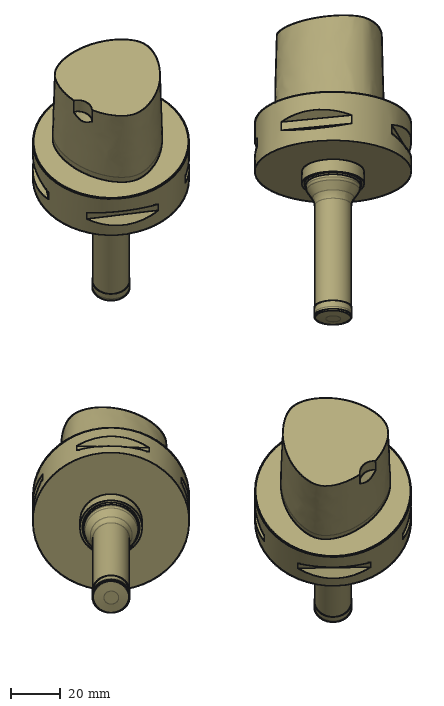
import cadquery as cq
import math

TOTAL_HEIGHT = 124.0
TAPER_START_Z = 89.0
FLANGE_TOP_Z = 86.0
FLANGE_BOTTOM_Z = 64.5
COLLAR_BOTTOM_Z = 59.1
NECK_TOP_Z = 58.5
CONE_TOP_Z = 56.9
CONE_END_Z = 51.5
HEAD_TOP_Z = 4.7

FLANGE_DIAMETER = 63.0
FLANGE_CHAMFER = 0.4
COLLAR_DIAMETER = 25.0
COLLAR_LIP_DIAMETER = 23.1
NECK_DIAMETER = 22.0
SHANK_DIAMETER = 14.9
CONE_TOP_FILLET = 2.2
CONE_END_FILLET = 6.0

LOBE_MEAN_DIAMETER = 44.1
LOBE_HEIGHT = 1.5
TAPER_RATIO = 1 / 20
LOBE_POINTS = 36

SLOT_RADIUS = 5.7
SLOT_INNER_Y = -17.2
SLOT_WALL_BOTTOM_Z = 117.4
SLOT_POINT_DEPTH = 4.7

GROOVE_COUNT = 4
GROOVE_Z = 74.2
GROOVE_FLOOR_DISTANCE = 27.9
GROOVE_FLOOR_WIDTH = 3.6
GROOVE_RIM_CLEARANCE = 1.2
GROOVE_FLANK_ANGLE = 33.0

HEAD_DIAMETER = 15.3
HEAD_TOP_DIAMETER = 15.1
HEAD_LAND_Z = 2.1
HEAD_LEAD_Z = 1.0
HEAD_FACE_Z = 0.4
HEAD_FACE_DIAMETER = 14.4
HEAD_BOSS_DIAMETER = 6.0


def revolve_profile(points):
    """Revolve (radius, z) points about the Z axis."""
    return cq.Workplane("XZ").polyline(points).close().revolve(360, (0, 0), (0, 1))


def lobed_outline(mean_diameter, z):
    """Constant-width three-lobed wire with one lobe pointing to +Y."""
    points = []
    for i in range(LOBE_POINTS):
        angle = 2 * math.pi * i / LOBE_POINTS
        reach = mean_diameter / 2 + LOBE_HEIGHT * math.cos(3 * angle)
        slide = -3 * LOBE_HEIGHT * math.sin(3 * angle)
        along_y = reach * math.cos(angle) - slide * math.sin(angle)
        along_x = reach * math.sin(angle) + slide * math.cos(angle)
        points.append(cq.Vector(along_x, along_y, z))
    return cq.Wire.assembleEdges([cq.Edge.makeSpline(points, periodic=True)])


def make_tapered_shank():
    top_diameter = LOBE_MEAN_DIAMETER - TAPER_RATIO * (TOTAL_HEIGHT - TAPER_START_Z)
    base = lobed_outline(LOBE_MEAN_DIAMETER, FLANGE_TOP_Z)
    start = lobed_outline(LOBE_MEAN_DIAMETER, TAPER_START_Z)
    end = lobed_outline(top_diameter, TOTAL_HEIGHT)
    straight_part = cq.Solid.makeLoft([base, start], True)
    tapered_part = cq.Solid.makeLoft([start, end], True)
    return cq.Workplane(straight_part).union(cq.Workplane(tapered_part))


def make_slot_cutter():
    cutter = revolve_profile([
        (0, TOTAL_HEIGHT),
        (SLOT_RADIUS, TOTAL_HEIGHT),
        (SLOT_RADIUS, SLOT_WALL_BOTTOM_Z),
        (0, SLOT_WALL_BOTTOM_Z - SLOT_POINT_DEPTH),
    ])
    return cutter.translate((0, SLOT_INNER_Y - SLOT_RADIUS, 0))


def make_groove_cutter(angle):
    """Straight groove across the rim, widening outwards, facing the given angle."""
    outer = FLANGE_DIAMETER / 2 + GROOVE_RIM_CLEARANCE
    floor_half = GROOVE_FLOOR_WIDTH / 2
    flare = (outer - GROOVE_FLOOR_DISTANCE) * math.tan(math.radians(GROOVE_FLANK_ANGLE))
    profile = [
        (GROOVE_FLOOR_DISTANCE, GROOVE_Z - floor_half),
        (outer, GROOVE_Z - floor_half - flare),
        (outer, GROOVE_Z + floor_half + flare),
        (GROOVE_FLOOR_DISTANCE, GROOVE_Z + floor_half),
    ]
    cutter = cq.Workplane("XZ").polyline(profile).close().extrude(FLANGE_DIAMETER / 2, both=True)
    return cutter.rotate((0, 0, 0), (0, 0, 1), angle)


def make_flange():
    height = FLANGE_TOP_Z - FLANGE_BOTTOM_Z
    flange = cq.Workplane("XY", origin=(0, 0, FLANGE_BOTTOM_Z)).circle(FLANGE_DIAMETER / 2).extrude(height)
    flange = flange.faces(">Z").chamfer(FLANGE_CHAMFER)
    pitch = 360 / GROOVE_COUNT
    for i in range(GROOVE_COUNT):
        flange = flange.cut(make_groove_cutter(pitch * (i + 0.5)))
    return flange


def edge_at(z):
    """Selector for the circular edges at one height."""
    reach = FLANGE_DIAMETER
    margin = 0.1
    return cq.selectors.BoxSelector((-reach, -reach, z - margin), (reach, reach, z + margin), boundingbox=True)


def make_collar_and_shank():
    stem = revolve_profile([
        (0, FLANGE_BOTTOM_Z),
        (COLLAR_DIAMETER / 2, FLANGE_BOTTOM_Z),
        (COLLAR_DIAMETER / 2, COLLAR_BOTTOM_Z),
        (COLLAR_LIP_DIAMETER / 2, COLLAR_BOTTOM_Z),
        (NECK_DIAMETER / 2, NECK_TOP_Z),
        (NECK_DIAMETER / 2, CONE_TOP_Z),
        (SHANK_DIAMETER / 2, CONE_END_Z),
        (SHANK_DIAMETER / 2, HEAD_TOP_Z),
        (0, HEAD_TOP_Z),
    ])
    stem = stem.edges(edge_at(CONE_TOP_Z)).fillet(CONE_TOP_FILLET)
    return stem.edges(edge_at(CONE_END_Z)).fillet(CONE_END_FILLET)


def make_holder():
    holder = make_flange().union(make_tapered_shank()).union(make_collar_and_shank())
    return holder.cut(make_slot_cutter())


def make_cutting_head():
    return revolve_profile([
        (0, HEAD_TOP_Z),
        (HEAD_TOP_DIAMETER / 2, HEAD_TOP_Z),
        (HEAD_DIAMETER / 2, HEAD_LAND_Z),
        (HEAD_DIAMETER / 2, HEAD_LEAD_Z),
        (HEAD_FACE_DIAMETER / 2, HEAD_FACE_Z),
        (HEAD_BOSS_DIAMETER / 2, 0),
        (0, 0),
    ])


holder = make_holder()
cutting_head = make_cutting_head()
result = cq.Compound.makeCompound([holder.val(), cutting_head.val()])